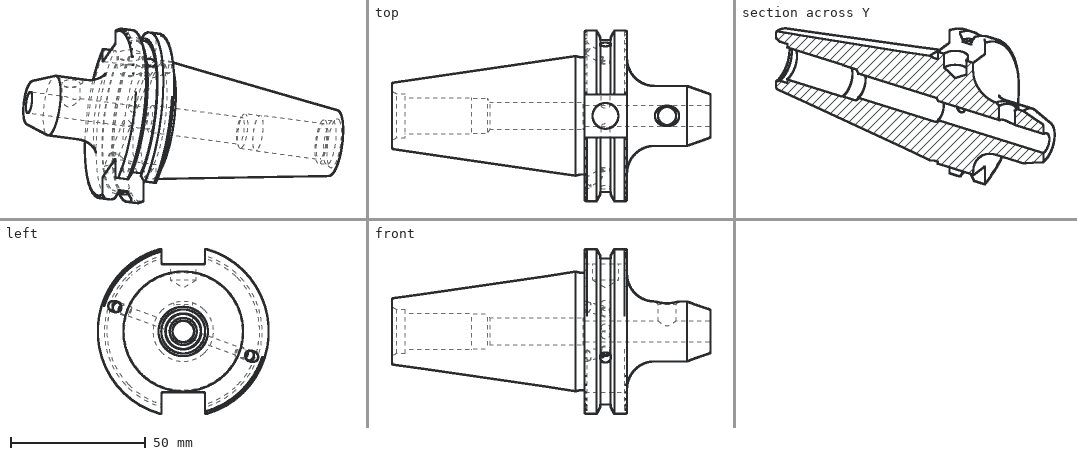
import cadquery as cq
import math

length = 118.2
taper_length = 68.1
relief_start = 69.8
flange_start = 71.4
flange_end = 87.3
nose_cone_start = 109.4

gauge_radius = 22.2
taper_slope = 7 / 48
relief_radius = 43.6 / 2
flange_radius = 63.5 / 2
nose_radius = 22.3 / 2
tip_radius = 8.0
neck_fillet = 10.0
edge_round = 1.0

groove_center = 79.2
groove_floor_radius = 28.3
groove_floor_half_width = 1.9
groove_step = 1.0
groove_wall_angle = 30

slot_half_width = 16.0 / 2
top_slot_floor = 25.0
bottom_slot_floor = 22.6
slot_edge_round = 0.6
slot_corner_round = 0.4
marker_hole_diameter = 9.6
marker_hole_depth = 5.9
drill_tip_angle = 118

mouth_diameter = 18.3
pilot_diameter = 16.3
pilot_depth = 5.0
mouth_cone_angle = 30
thread_diameter = 13.4
thread_end = 29.6
tap_drill_diameter = 13.0
tap_drill_end = 35.5
passage_diameter = 10.0
passage_end = 71.0
shank_diameter = 7.9
drill_cone_angle = drill_tip_angle / 2

screw_x = 102.0
screw_diameter = 6.7
screw_mouth_diameter = 9.0

coolant_tilt = 20
cross_hole_diameter = 3.2
feed_hole_diameter = 3.7
plug_seat_diameter = 4.0
cross_seat_depth = 7.1
feed_seat_depth = 1.7
feed_entry_radius = 27.1
feed_inclination = 34


def make_body():
    """Revolve the solid outside shape, without bore or groove."""
    small_radius = gauge_radius - taper_slope * taper_length
    neck_end = flange_end + neck_fillet
    arc_offset = neck_fillet * math.sqrt(0.5)
    profile = (
        cq.Workplane("XY")
        .lineTo(0, small_radius)
        .lineTo(taper_length, gauge_radius)
        .lineTo(relief_start, relief_radius)
        .lineTo(flange_start, relief_radius)
        .lineTo(flange_start, flange_radius)
        .lineTo(flange_end, flange_radius)
        .lineTo(flange_end, nose_radius + neck_fillet)
        .threePointArc(
            (neck_end - arc_offset, nose_radius + neck_fillet - arc_offset),
            (neck_end, nose_radius),
        )
        .lineTo(nose_cone_start, nose_radius)
        .lineTo(length, tip_radius)
        .lineTo(length, 0)
        .close()
    )
    body = profile.revolve(360, (0, 0, 0), (1, 0, 0))
    body = body.edges(cq.selectors.RadiusNthSelector(-1)).fillet(edge_round)
    return body.faces("<X or >X").edges().fillet(edge_round)


def make_groove():
    """Ring with sloping upper walls and a short straight-sided floor."""
    step_radius = groove_floor_radius + groove_step
    wall_slope = math.tan(math.radians(groove_wall_angle))
    rim_half_width = groove_floor_half_width + (flange_radius - step_radius) * wall_slope
    return (
        cq.Workplane("XY")
        .moveTo(groove_center - groove_floor_half_width, groove_floor_radius)
        .lineTo(groove_center - groove_floor_half_width, step_radius)
        .lineTo(groove_center - rim_half_width, flange_radius)
        .lineTo(groove_center + rim_half_width, flange_radius)
        .lineTo(groove_center + groove_floor_half_width, step_radius)
        .lineTo(groove_center + groove_floor_half_width, groove_floor_radius)
        .close()
        .revolve(360, (0, 0, 0), (1, 0, 0))
    )


def make_bore():
    """Through bore: conical mouth, pilot, thread, drilled passage and shank bore."""
    mouth_depth = (mouth_diameter - pilot_diameter) / 2 / math.tan(math.radians(mouth_cone_angle))
    drill_slope = math.tan(math.radians(drill_cone_angle))
    tap_cone = (tap_drill_diameter - passage_diameter) / 2 / drill_slope
    passage_cone = (passage_diameter - shank_diameter) / 2 / drill_slope
    return (
        cq.Workplane("XY")
        .lineTo(0, mouth_diameter / 2)
        .lineTo(mouth_depth, pilot_diameter / 2)
        .lineTo(pilot_depth, pilot_diameter / 2)
        .lineTo(pilot_depth, thread_diameter / 2)
        .lineTo(thread_end, thread_diameter / 2)
        .lineTo(thread_end, tap_drill_diameter / 2)
        .lineTo(tap_drill_end, tap_drill_diameter / 2)
        .lineTo(tap_drill_end + tap_cone, passage_diameter / 2)
        .lineTo(passage_end, passage_diameter / 2)
        .lineTo(passage_end + passage_cone, shank_diameter / 2)
        .lineTo(length, shank_diameter / 2)
        .lineTo(length, 0)
        .close()
        .revolve(360, (0, 0, 0), (1, 0, 0))
    )


def make_slot(floor):
    """Drive slot cutter with rounded rims, on the +Z side of the flange."""
    round_y = slot_half_width + slot_edge_round
    round_z = math.sqrt((flange_radius - slot_edge_round) ** 2 - round_y**2)
    rim_angle = math.atan2(round_z, round_y)
    middle_angle = (math.pi + rim_angle) / 2
    middle_y = round_y + slot_edge_round * math.cos(middle_angle)
    middle_z = round_z + slot_edge_round * math.sin(middle_angle)
    rim_y = flange_radius * math.cos(rim_angle)
    rim_z = flange_radius * math.sin(rim_angle)

    slot = (
        cq.Workplane("YZ")
        .moveTo(-slot_half_width, floor)
        .lineTo(slot_half_width, floor)
        .lineTo(slot_half_width, round_z)
        .threePointArc((middle_y, middle_z), (rim_y, rim_z))
        .lineTo(rim_y, flange_radius)
        .lineTo(-rim_y, flange_radius)
        .lineTo(-rim_y, rim_z)
        .threePointArc((-middle_y, middle_z), (-slot_half_width, round_z))
        .close()
        .extrude(flange_end - flange_start)
        .translate((flange_start, 0, 0))
    )
    return slot.edges("|X and <Z").fillet(slot_corner_round)


def make_marker_hole():
    """Blind drilled hole with a conical tip in the top slot floor."""
    radius = marker_hole_diameter / 2
    tip = radius / math.tan(math.radians(drill_tip_angle / 2))
    down = cq.Vector(0, 0, -1)
    top = cq.Vector(groove_center, 0, top_slot_floor)
    hole = cq.Solid.makeCylinder(radius, marker_hole_depth, top, down)
    cone = cq.Solid.makeCone(radius, 0, tip, top + down * marker_hole_depth, down)
    return cq.Workplane(hole.fuse(cone))


def make_screw_hole():
    """Clamping screw hole from the top of the nose to the bore, with a 45 degree mouth."""
    mouth_radius = screw_mouth_diameter / 2
    down = cq.Vector(0, 0, -1)
    top = cq.Vector(screw_x, 0, nose_radius)
    hole = cq.Solid.makeCylinder(screw_diameter / 2, nose_radius, top, down)
    mouth = cq.Solid.makeCone(mouth_radius, 0, mouth_radius, top, down)
    return cq.Workplane(hole.fuse(mouth))


def make_coolant_holes():
    """Cross hole from the groove to the bore and an inclined feed hole from the flange face."""
    seat_radius = plug_seat_diameter / 2
    inward = cq.Vector(0, -1, 0)
    cross_start = cq.Vector(groove_center, groove_floor_radius, 0)
    cross = cq.Solid.makeCylinder(cross_hole_diameter / 2, groove_floor_radius, cross_start, inward)
    cross_seat = cq.Solid.makeCylinder(seat_radius, cross_seat_depth, cross_start, inward)

    run = groove_center - flange_start
    drop = run * math.tan(math.radians(feed_inclination))
    direction = cq.Vector(run, -drop, 0)
    entry = cq.Vector(flange_start, feed_entry_radius, 0)
    feed = cq.Solid.makeCylinder(feed_hole_diameter / 2, direction.Length, entry, direction)

    overshoot = plug_seat_diameter
    seat_start = entry - direction.normalized() * overshoot
    feed_seat = cq.Solid.makeCylinder(seat_radius, overshoot + feed_seat_depth, seat_start, direction)

    return cq.Workplane(cross.fuse(cross_seat, feed, feed_seat))


def turn(shape, angle):
    """Rotate a shape about the spindle axis."""
    return shape.rotate((0, 0, 0), (1, 0, 0), angle)


result = make_body()
result = result.cut(make_slot(top_slot_floor))
result = result.cut(turn(make_slot(bottom_slot_floor), 180))
result = result.cut(make_groove())
result = result.cut(make_bore())
result = result.cut(make_marker_hole())
result = result.cut(make_screw_hole())
for side_angle in (0, 180):
    result = result.cut(turn(make_coolant_holes(), coolant_tilt + side_angle))